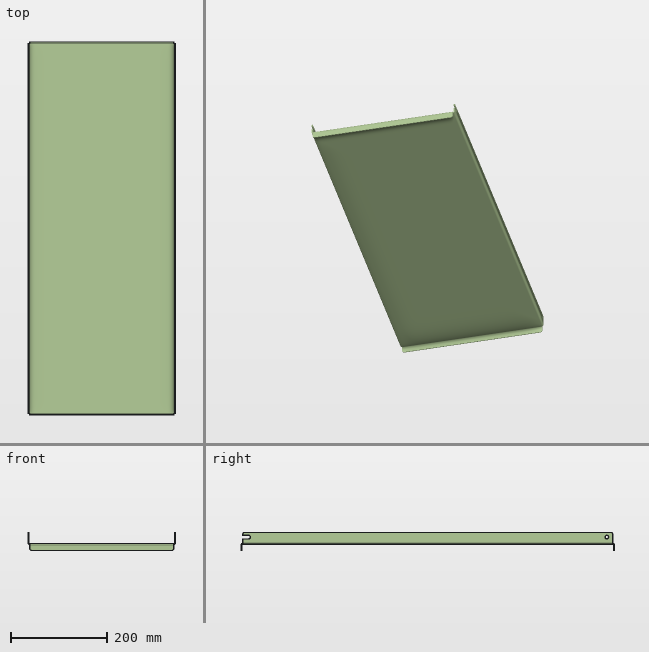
import cadquery as cq

width = 306.0
length = 775.0
height = 38.0
thickness = 2.0

inner_radius = 1.0
outer_radius = inner_radius + thickness

end_drop = 15.0
side_rise = height - end_drop + thickness
floor_bottom = end_drop - thickness
flange_end_inset = outer_radius
side_corner_radius = 5.0
end_corner_radius = 5.0

fastener_diameter = 7.0
fastener_below_top = 10.0
hole_from_end = 15.5
slot_depth = 19.0

side_flange_length = length - 2 * flange_end_inset
end_flange_width = width - 2 * flange_end_inset
fastener_z = height - fastener_below_top


def bent_flange(rise, run):
    """L-section strip along +Y: bend and upright web, outer face at X = 0, underside at Z = 0."""
    return (
        cq.Workplane("XZ")
        .moveTo(outer_radius, 0)
        .radiusArc((0, outer_radius), outer_radius)
        .lineTo(0, rise)
        .lineTo(thickness, rise)
        .lineTo(thickness, outer_radius)
        .radiusArc((outer_radius, thickness), -inner_radius)
        .close()
        .extrude(run / 2, both=True)
    )


def floor_panel():
    """Flat floor between the bend tangent lines."""
    return cq.Workplane("XY").box(
        width - 2 * outer_radius,
        length - 2 * outer_radius,
        thickness,
        centered=(True, True, False),
    ).translate((0, 0, floor_bottom))


def side_flange():
    """Upturned flange on the -X side, with rounded top corners, a hole and an open slot."""
    flange = (
        bent_flange(side_rise, side_flange_length)
        .edges("|X and >Z")
        .fillet(side_corner_radius)
        .translate((-width / 2, 0, floor_bottom))
    )
    hole_y = length / 2 - hole_from_end
    full_slot_length = 2 * slot_depth
    cutter_plane = cq.Workplane("YZ", origin=(-width / 2, 0, fastener_z))
    hole = cutter_plane.center(hole_y, 0).circle(fastener_diameter / 2).extrude(outer_radius)
    slot = cutter_plane.center(-length / 2, 0).slot2D(
        full_slot_length, fastener_diameter
    ).extrude(outer_radius)
    return flange.cut(hole).cut(slot)


def end_flange():
    """Downturned flange on the -Y end, with rounded lower corners."""
    return (
        bent_flange(end_drop, end_flange_width)
        .edges("|X and >Z")
        .fillet(end_corner_radius)
        .rotate((0, 0, 0), (1, 0, 0), 180)
        .rotate((0, 0, 0), (0, 0, 1), 90)
        .translate((0, -length / 2, end_drop))
    )


side = side_flange()
end = end_flange()
result = (
    floor_panel()
    .union(side)
    .union(side.mirror("YZ"))
    .union(end)
    .union(end.mirror("XZ"))
)